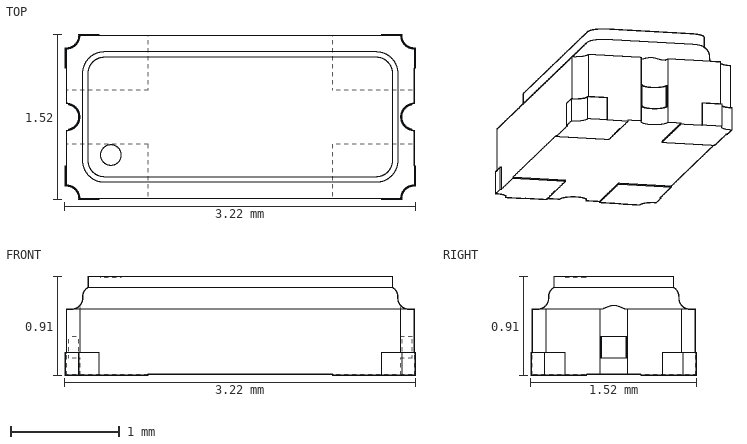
import cadquery as cq
import math

BASE_LENGTH = 3.20
BASE_WIDTH = 1.50
BASE_HEIGHT = 0.60
METAL_THICKNESS = 0.01
BASE_TOP = METAL_THICKNESS + BASE_HEIGHT

CASTELLATION_RADIUS = 0.125

PAD_SIDE_REACH = 0.30
PAD_SIDE_HEIGHT = 0.20
PAD_FOOT_LENGTH = 0.75
PAD_FOOT_WIDTH = 0.50

BAND_RISE = 0.15
BAND_BOTTOM = METAL_THICKNESS + BAND_RISE
BAND_HEIGHT = 0.20
BAND_SETBACK = 0.02

LID_LENGTH = 2.80
LID_WIDTH = 1.10
LID_THICKNESS = 0.10
LID_CORNER_RADIUS = 0.15

RIM_HEIGHT = 0.20
RIM_OVERHANG = 0.05
RIM_FLARE_RADIUS = 0.10
RIM_SHOULDER_RADIUS = 0.10
LID_BOTTOM = BASE_TOP + RIM_HEIGHT
LID_TOP = LID_BOTTOM + LID_THICKNESS

MARK_RADIUS = 0.095
MARK_DEPTH = 0.01
MARK_CENTRE = (-1.19, -0.35)

CORNERS = [(x * BASE_LENGTH / 2, y * BASE_WIDTH / 2) for x in (-1, 1) for y in (-1, 1)]
END_MIDDLES = [(x * BASE_LENGTH / 2, 0) for x in (-1, 1)]


def block(length, width, height, bottom):
    """Box centred on the Z axis, standing on the given level."""
    return cq.Workplane("XY").workplane(offset=bottom).rect(length, width).extrude(height)


def cylinders(centres, radius, height, bottom):
    """Upright cylinders standing on the given level."""
    return cq.Workplane("XY").workplane(offset=bottom).pushPoints(centres).circle(radius).extrude(height)


def rounded_block(length, width, corner_radius, height, bottom):
    """Box with rounded upright edges."""
    return block(length, width, height, bottom).edges("|Z").fillet(corner_radius)


def make_rim_post():
    """Rim with a full shoulder fillet, cut off where the fillet meets the lid edge."""
    rise_to_lid_edge = math.sqrt(RIM_SHOULDER_RADIUS**2 - (RIM_SHOULDER_RADIUS - RIM_OVERHANG)**2)
    trimmed_height = RIM_SHOULDER_RADIUS - rise_to_lid_edge
    post = rounded_block(
        LID_LENGTH + 2 * RIM_OVERHANG,
        LID_WIDTH + 2 * RIM_OVERHANG,
        LID_CORNER_RADIUS + RIM_OVERHANG,
        RIM_HEIGHT + trimmed_height,
        BASE_TOP,
    )
    post = post.faces(">Z").edges().fillet(RIM_SHOULDER_RADIUS)
    return post.cut(block(BASE_LENGTH, BASE_WIDTH, trimmed_height, LID_BOTTOM))


def make_ceramic():
    """Base block with the flared rim, notched by the castellations."""
    ceramic = block(BASE_LENGTH, BASE_WIDTH, BASE_HEIGHT, METAL_THICKNESS).union(make_rim_post())
    reach_x = LID_LENGTH / 2 + RIM_OVERHANG + RIM_FLARE_RADIUS / 2
    reach_y = LID_WIDTH / 2 + RIM_OVERHANG + RIM_FLARE_RADIUS / 2
    rim_foot = cq.selectors.BoxSelector(
        (-reach_x, -reach_y, BASE_TOP - METAL_THICKNESS),
        (reach_x, reach_y, BASE_TOP + METAL_THICKNESS),
        boundingbox=True,
    )
    ceramic = ceramic.edges(rim_foot).fillet(RIM_FLARE_RADIUS)
    return ceramic.cut(cylinders(CORNERS + END_MIDDLES, CASTELLATION_RADIUS, LID_BOTTOM, 0))


def make_pads():
    """Four thin corner pads: a foot under the base and a skin up the side walls."""
    skin_length = BASE_LENGTH + 2 * METAL_THICKNESS
    skin_width = BASE_WIDTH + 2 * METAL_THICKNESS
    skin_height = METAL_THICKNESS + PAD_SIDE_HEIGHT
    side_reach = PAD_SIDE_REACH + METAL_THICKNESS

    skins = block(skin_length, skin_width, skin_height, 0)
    skins = skins.intersect(
        cq.Workplane("XY").rect(skin_length, skin_width, forConstruction=True).vertices()
        .rect(2 * side_reach, 2 * side_reach).extrude(skin_height)
    )
    feet = block(BASE_LENGTH, BASE_WIDTH, METAL_THICKNESS, 0)
    feet = feet.intersect(
        cq.Workplane("XY").pushPoints(CORNERS)
        .rect(2 * PAD_FOOT_LENGTH, 2 * PAD_FOOT_WIDTH).extrude(METAL_THICKNESS)
    )
    notches = cylinders(CORNERS, CASTELLATION_RADIUS - METAL_THICKNESS, skin_height, 0)
    return skins.union(feet).cut(notches)


def make_bands():
    """Thin half-round metal linings inside the two end castellations."""
    bands = cylinders(END_MIDDLES, CASTELLATION_RADIUS, BAND_HEIGHT, BAND_BOTTOM)
    inner_radius = CASTELLATION_RADIUS - METAL_THICKNESS
    bands = bands.cut(cylinders(END_MIDDLES, inner_radius, BAND_HEIGHT, BAND_BOTTOM))
    return bands.intersect(block(BASE_LENGTH - 2 * BAND_SETBACK, BASE_WIDTH, BAND_HEIGHT, BAND_BOTTOM))


def make_base():
    """Ceramic body with its metallisation."""
    return make_ceramic().union(make_pads()).union(make_bands())


def make_mark():
    """Flat disc marking pin one."""
    return cylinders([MARK_CENTRE], MARK_RADIUS, MARK_DEPTH, LID_TOP - MARK_DEPTH)


def make_lid(mark):
    """Flat lid plate with a recess for the mark."""
    return rounded_block(LID_LENGTH, LID_WIDTH, LID_CORNER_RADIUS, LID_THICKNESS, LID_BOTTOM).cut(mark)


base = make_base()
mark = make_mark()
lid = make_lid(mark)

result = cq.Compound.makeCompound([body.solids().val() for body in (base, lid, mark)])